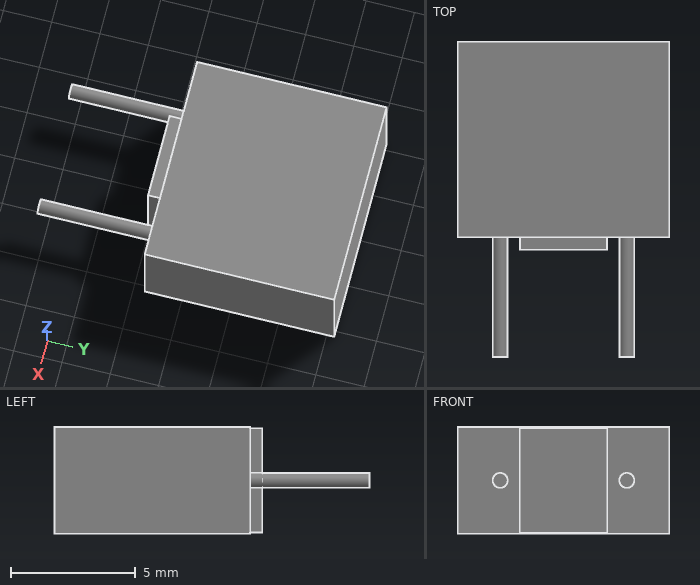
import cadquery as cq

body_width = 8.5
body_height = 4.3
overall_length = 12.65

pin_length = 4.8
pin_diameter = 0.6
pin_spacing = 5.08

standoff_width = 3.5
standoff_height = 4.2
standoff_depth = 0.5

body_length = overall_length - pin_length


def make_body():
    """Rectangular block with its -Y face on the XZ plane, centred in X and Z."""
    return cq.Workplane("XY").box(body_width, body_length, body_height, centered=(True, False, True))


def make_standoff():
    """Shallow block projecting toward -Y from the middle of the body face."""
    return cq.Workplane("XZ").rect(standoff_width, standoff_height).extrude(standoff_depth)


def make_pin(x):
    """Round pin projecting toward -Y from the body face at the given X."""
    return cq.Workplane("XZ").center(x, 0).circle(pin_diameter / 2).extrude(pin_length)


result = make_body().union(make_standoff())
for side in (-1, 1):
    result = result.union(make_pin(side * pin_spacing / 2))